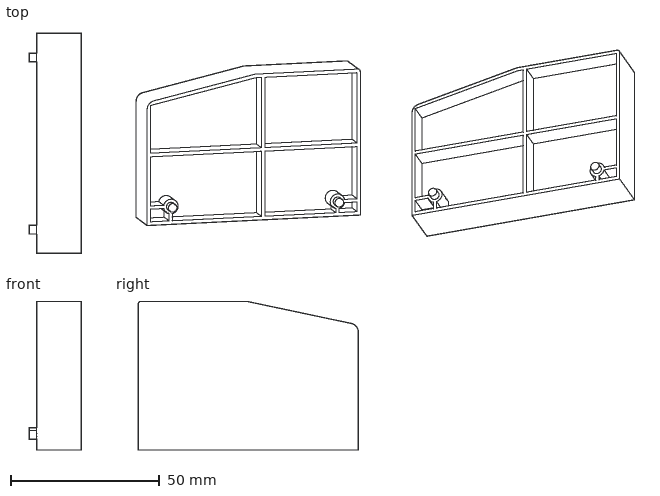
import cadquery as cq
import math

length = 74.0
height = 50.0
body_depth = 15.0
pin_length = 2.45
pocket_depth = 6.7

half_length = length / 2
bend_y = -0.45
low_side_height = 42.1
low_corner_radius = 3.0
high_corner_radius = 1.0

side_wall = 1.2
top_wall = 1.25
rib_thickness = 1.25
upright_rib_y = -3.25
level_rib_z = 24.1

boss_centres = [(28.8, 6.15), (-29.0, 5.1)]
boss_radius = 2.5
pin_radius = 1.5
boss_rib_thickness = 1.1


def box_between(x_range, y_range, z_range):
    """Box spanning the given ranges along X, Y and Z."""
    sizes = [high - low for low, high in (x_range, y_range, z_range)]
    corner = (x_range[0], y_range[0], z_range[0])
    return cq.Workplane("XY").box(*sizes, centered=False).translate(corner)


def cylinder_along_x(radius, centre, x_start, x_end):
    """Round bar along X, centred at the given (Y, Z)."""
    return (
        cq.Workplane("YZ", origin=(x_start, 0, 0))
        .center(*centre)
        .circle(radius)
        .extrude(x_end - x_start)
    )


def make_body():
    """Solid block with a sloping top and two rounded upper corners."""
    outline = [
        (-half_length, 0),
        (half_length, 0),
        (half_length, low_side_height),
        (bend_y, height),
        (-half_length, height),
    ]
    body = cq.Workplane("YZ").polyline(outline).close().extrude(body_depth)
    body = body.edges("|X").edges(">Y").edges(">Z").fillet(low_corner_radius)
    return body.edges("|X").edges("<Y").edges(">Z").fillet(high_corner_radius)


def make_pocket():
    """Cavity inside the walls, with its top parallel to the outer top."""
    slope_run = half_length - bend_y
    slope = (height - low_side_height) / slope_run
    vertical_wall = top_wall * math.hypot(1, slope)
    inner_y = half_length - side_wall
    inner_low_z = low_side_height + slope * side_wall - vertical_wall
    inner_top_z = height - top_wall
    inner_bend_y = inner_y - (inner_top_z - inner_low_z) / slope
    outline = [
        (-inner_y, top_wall),
        (inner_y, top_wall),
        (inner_y, inner_low_z),
        (inner_bend_y, inner_top_z),
        (-inner_y, inner_top_z),
    ]
    return cq.Workplane("YZ").polyline(outline).close().extrude(pocket_depth)


def make_ribs():
    """Crossing ribs and the boss struts, all reaching the rim."""
    half_rib = rib_thickness / 2
    half_strut = boss_rib_thickness / 2
    depth = (0, pocket_depth)
    full_length = (-half_length, half_length)

    upright_span = (upright_rib_y - half_rib, upright_rib_y + half_rib)
    level_span = (level_rib_z - half_rib, level_rib_z + half_rib)
    ribs = box_between(depth, upright_span, (0, height))
    ribs = ribs.union(box_between(depth, full_length, level_span))

    for y, z in boss_centres:
        nearest_side = math.copysign(half_length, y)
        strut_length = sorted((y, nearest_side))
        ribs = ribs.union(box_between(depth, strut_length, (z - half_strut, z + half_strut)))
        ribs = ribs.union(box_between(depth, (y - half_strut, y + half_strut), (0, z)))
    return ribs


body = make_body()
result = body.cut(make_pocket().cut(make_ribs()))

for centre in boss_centres:
    result = result.union(cylinder_along_x(boss_radius, centre, 0, body_depth / 2))
    result = result.union(cylinder_along_x(pin_radius, centre, -pin_length, body_depth / 2))